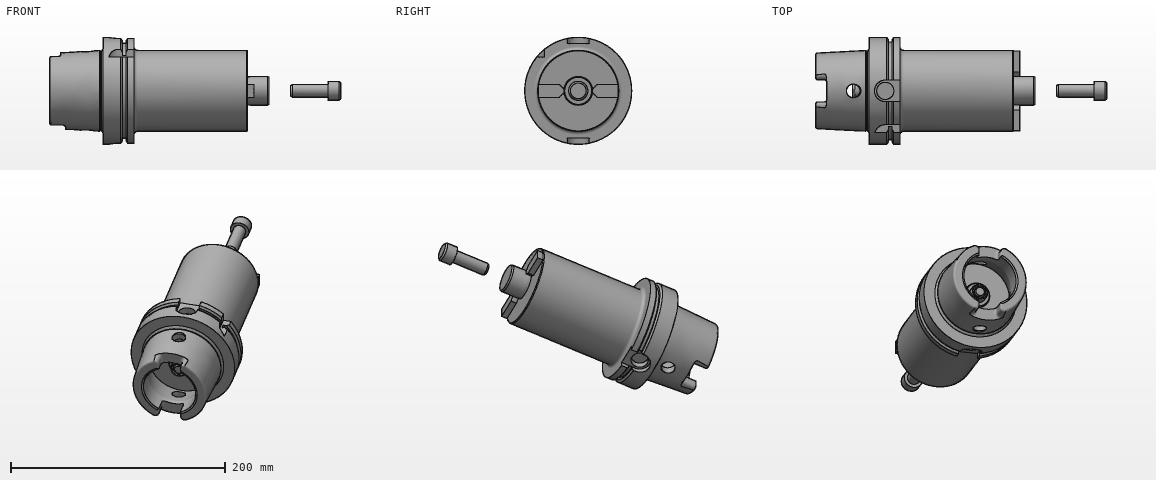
import cadquery as cq
import math


shank_length = 50.0
taper_start_radius = 35.4
taper_end_radius = 37.8
mouth_round = 2.0
relief_start = 46.8
relief_bottom_start = 47.5
relief_bottom_end = 48.5
relief_bottom_radius = 37.0
relief_wall_end = 49.2
relief_wall_radius = 38.4
relief_mouth_radius = 39.5

flange_radius = 50.0
flange_end = 79.0
groove_bottom_radius = 45.7
groove_flank_radius = 48.0
groove_mouth_start = 66.5
groove_bottom_start = 68.0
groove_bottom_end = 71.5
groove_mouth_end = 73.0

barrel_radius = 76.0 / 2
barrel_end = 185.0
barrel_chamfer_length = 1.0
barrel_chamfer_depth = 0.5
barrel_fillet = 3.3
pilot_radius = 27.0 / 2
pilot_end = 205.0
pilot_chamfer_length = 1.5
pilot_chamfer_depth = 0.8
neck_radius = 13.3
neck_length = 1.4
neck_taper = 1.0

key_width = 12.0
key_height = 5.7
key_outer_y = 37.3
key_shoulder_y = 17.7

bore_mouth_radius = 27.0
bore_radius = 25.3
bore_lead_in = 0.8
undercut_start = 19.0
undercut_radius = 31.5
bore_depth = 45.0
collar_radius = 12.0
collar_start = 42.5
collar_chamfer = 0.8
nozzle_radius = 16.0 / 2
nozzle_rim_radius = 7.3
nozzle_start = 34.3
nozzle_chamfer_length = 2.7
nozzle_recess_radius = 6.8
nozzle_recess_depth = 2.7
plug_radius = 10.5 / 2
plug_chamfer = 1.22
rib_width = 2.0

slot_half_width = 10.3
slot_crest = 32.0
slot_crest_round = 3.8
slot_bottom_round = 2.5
upper_slot_depth = 10.3
lower_slot_depth = 15.0

cross_hole_radius = 6.3
cross_hole_x = 35.0
cross_hole_rim_radius = 6.8

keyway_radius = 10.0
keyway_center_x = 65.0
keyway_floor = 44.0
blind_hole_radius = 16.0 / 2
blind_hole_depth = 6.8
notch_offset = 31.5

screw_end = 272.0
head_height = 12.0
head_radius = 9.0
head_chamfer = 1.5
shank_reach = 35.0
shank_radius = 6.0
tip_radius = 5.0
tip_length = 2.0
head_start = screw_end - head_height
screw_start = head_start - shank_reach

overlap = 2.7


def revolve_profile(points):
    """Turn a closed (x, radius) outline about the X axis."""
    return cq.Workplane("XY").polyline(points).close().revolve(360, (0, 0, 0), (1, 0, 0))


def turned_blank():
    """Outer shape of the arbor, still without bore, slots and keys."""
    fillet_side = barrel_radius + barrel_fillet
    arc_offset = barrel_fillet * (1 - math.sqrt(0.5))
    outline = (
        cq.Workplane("XY")
        .moveTo(0, 0)
        .lineTo(0, taper_start_radius)
        .lineTo(relief_start, taper_end_radius)
        .lineTo(relief_bottom_start, relief_bottom_radius)
        .lineTo(relief_bottom_end, relief_bottom_radius)
        .lineTo(relief_wall_end, relief_wall_radius)
        .lineTo(shank_length, relief_mouth_radius)
        .lineTo(shank_length, flange_radius)
        .lineTo(groove_mouth_start, flange_radius)
        .lineTo(groove_bottom_start, groove_flank_radius)
        .lineTo(groove_bottom_start, groove_bottom_radius)
        .lineTo(groove_bottom_end, groove_bottom_radius)
        .lineTo(groove_bottom_end, groove_flank_radius)
        .lineTo(groove_mouth_end, flange_radius)
        .lineTo(flange_end, flange_radius)
        .lineTo(flange_end, fillet_side)
        .threePointArc(
            (flange_end + arc_offset, barrel_radius + arc_offset),
            (flange_end + barrel_fillet, barrel_radius),
        )
        .lineTo(barrel_end - barrel_chamfer_length, barrel_radius)
        .lineTo(barrel_end, barrel_radius - barrel_chamfer_depth)
        .lineTo(barrel_end, neck_radius)
        .lineTo(barrel_end + neck_length, neck_radius)
        .lineTo(barrel_end + neck_length + neck_taper, pilot_radius)
        .lineTo(pilot_end - pilot_chamfer_length, pilot_radius)
        .lineTo(pilot_end, pilot_radius - pilot_chamfer_depth)
        .lineTo(pilot_end, 0)
        .close()
    )
    return outline.revolve(360, (0, 0, 0), (1, 0, 0))


def clamping_bore():
    """Bore volume around the collar and the nozzle, which stay solid."""
    return revolve_profile([
        (0, 0),
        (0, bore_mouth_radius),
        (bore_lead_in, bore_radius),
        (undercut_start, bore_radius),
        (bore_depth, undercut_radius),
        (bore_depth, collar_radius),
        (collar_start + collar_chamfer, collar_radius),
        (collar_start, collar_radius - collar_chamfer),
        (collar_start, nozzle_radius),
        (nozzle_start + nozzle_chamfer_length, nozzle_radius),
        (nozzle_start, nozzle_rim_radius),
        (nozzle_start, 0),
    ])


def nozzle_recess():
    """Ring-shaped recess bridged by four ribs, with the edge of the plug inside it chamfered."""
    floor = nozzle_start + nozzle_recess_depth
    ring = revolve_profile([
        (nozzle_start, plug_radius),
        (nozzle_start, nozzle_recess_radius),
        (floor, nozzle_recess_radius),
        (floor, plug_radius),
    ])
    for angle in (0, 90):
        rib = (
            cq.Workplane("XY")
            .box(nozzle_recess_depth, 2 * nozzle_radius, rib_width)
            .translate((nozzle_start + nozzle_recess_depth / 2, 0, 0))
            .rotate((0, 0, 0), (1, 0, 0), angle)
        )
        ring = ring.cut(rib)
    chamfer = revolve_profile([
        (nozzle_start, plug_radius - plug_chamfer),
        (nozzle_start, plug_radius),
        (nozzle_start + plug_chamfer, plug_radius),
    ])
    return ring.union(chamfer)


def drive_slot(depth):
    """Cutter for a slot on the +Z side, with walls that round over to a flat crest."""
    crest_start = slot_half_width + slot_crest_round
    crest_end = crest_start + overlap
    wall_top = slot_crest - slot_crest_round
    cutter_top = taper_end_radius + overlap
    return (
        cq.Workplane("YZ", origin=(-overlap, 0, 0))
        .moveTo(-slot_half_width, nozzle_radius)
        .lineTo(slot_half_width, nozzle_radius)
        .lineTo(slot_half_width, wall_top)
        .radiusArc((crest_start, slot_crest), slot_crest_round)
        .lineTo(crest_end, slot_crest)
        .lineTo(crest_end, cutter_top)
        .lineTo(-crest_end, cutter_top)
        .lineTo(-crest_end, slot_crest)
        .lineTo(-crest_start, slot_crest)
        .radiusArc((-slot_half_width, wall_top), slot_crest_round)
        .close()
        .extrude(depth + overlap)
        .faces(">X")
        .edges()
        .fillet(slot_bottom_round)
    )


def cross_hole():
    """Hole through both shank walls along Z with a countersunk rim at each end."""
    rim_height = taper_start_radius + (taper_end_radius - taper_start_radius) * cross_hole_x / relief_start
    rim_depth = cross_hole_rim_radius - cross_hole_radius
    bottom = nozzle_radius + overlap
    drill = (
        cq.Workplane("XY", origin=(cross_hole_x, 0, bottom))
        .circle(cross_hole_radius)
        .extrude(rim_height + overlap - bottom)
    )
    countersink = cq.Workplane(
        cq.Solid.makeCone(
            cross_hole_radius,
            cross_hole_rim_radius + overlap,
            rim_depth + overlap,
            pnt=cq.Vector(cross_hole_x, 0, rim_height - rim_depth),
            dir=cq.Vector(0, 0, 1),
        )
    )
    half = drill.union(countersink)
    return half, half.mirror("XY")


def keyway(center_y, floor):
    """Round-ended slot from above, open toward the barrel."""
    height = flange_radius + overlap - floor
    length = flange_end - keyway_center_x
    end = cq.Workplane("XY").circle(keyway_radius).extrude(height)
    run = cq.Workplane("XY").box(length, 2 * keyway_radius, height, centered=(False, True, False))
    return end.union(run).translate((keyway_center_x, center_y, floor))


def blind_hole():
    """Round pocket sunk into the keyway floor."""
    return (
        cq.Workplane("XY", origin=(keyway_center_x, 0, keyway_floor - blind_hole_depth))
        .circle(blind_hole_radius)
        .extrude(blind_hole_depth)
    )


def drive_key():
    """Key on the nose face at +Y, running inward to a right-angled point inside the pilot."""
    half_width = key_width / 2
    return (
        cq.Workplane("YZ", origin=(barrel_end, 0, 0))
        .moveTo(key_outer_y, -half_width)
        .lineTo(key_outer_y, half_width)
        .lineTo(key_shoulder_y, half_width)
        .lineTo(key_shoulder_y - half_width, 0)
        .lineTo(key_shoulder_y, -half_width)
        .close()
        .extrude(key_height)
    )


def make_arbor():
    body = turned_blank().cut(drive_slot(upper_slot_depth)).cut(drive_slot(lower_slot_depth).mirror("XY"))
    body = body.faces("<X").edges().fillet(mouth_round)
    body = body.cut(clamping_bore()).cut(nozzle_recess())
    for hole in cross_hole():
        body = body.cut(hole)
    top_keyway = keyway(0, keyway_floor).union(blind_hole())
    body = body.cut(top_keyway).cut(top_keyway.mirror("XY"))
    body = body.cut(keyway(-notch_offset - keyway_radius, notch_offset))
    return body.union(drive_key()).union(drive_key().mirror("XZ"))


def make_screw():
    return revolve_profile([
        (screw_start, 0),
        (screw_start, tip_radius),
        (screw_start + tip_length, shank_radius),
        (head_start, shank_radius),
        (head_start, head_radius),
        (screw_end - head_chamfer, head_radius),
        (screw_end, head_radius - head_chamfer),
        (screw_end, 0),
    ])


arbor = make_arbor()
screw = make_screw()
result = cq.Compound.makeCompound([arbor.val(), screw.val()])